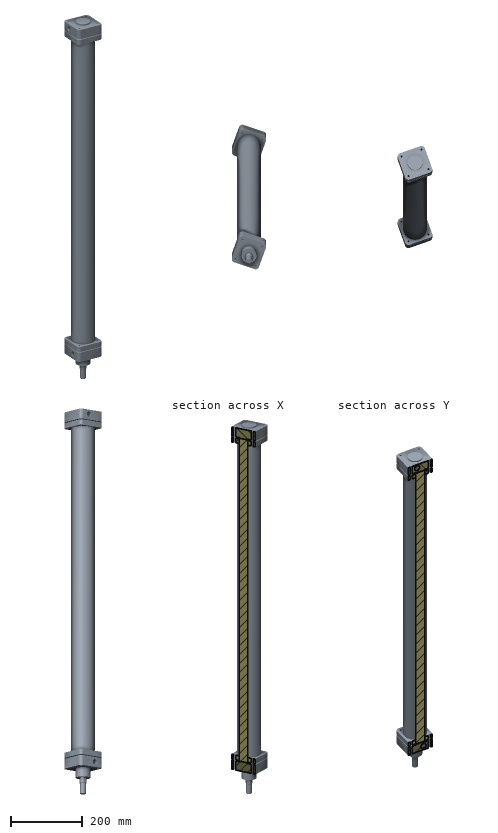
import cadquery as cq

total_length = 1091.0
boss_height = 4.0
rear_cap_top = total_length - boss_height
front_cap_bottom = 72.0
cap_height = 28.0
flange_height = 15.0
joint_gap = 2.0
nose_length = 26.0

head_width = 80.0
corner_radius = 10.0
bolt_spacing = 59.0
bolt_hole_diameter = 5.0

tube_diameter = 67.0
boss_diameter = 41.0

port_diameter = 15.0
port_depth = 13.0
port_offset = 10.4
rear_port_inset = 13.0
front_port_inset = 14.0

rod_diameter = 19.0
thread_diameter = 16.0
thread_length = 30.0
thread_chamfer = 1.0
flat_width = 16.0
flat_bottom = 33.0

front_cap_top = front_cap_bottom + cap_height
front_flange_bottom = front_cap_top + joint_gap
rear_cap_bottom = rear_cap_top - cap_height
rear_flange_top = rear_cap_bottom - joint_gap
rear_flange_bottom = rear_flange_top - flange_height
nose_bottom = front_cap_bottom - nose_length


def disc(diameter, bottom, top):
    """Cylinder on the Z axis between two heights."""
    return cq.Workplane("XY").workplane(offset=bottom).circle(diameter / 2).extrude(top - bottom)


def square_plate(bottom, top):
    """Rounded square plate with a bolt hole through each corner."""
    height = top - bottom
    plate = cq.Workplane("XY").workplane(offset=bottom).rect(head_width, head_width).extrude(height)
    plate = plate.edges("|Z").fillet(corner_radius)
    bolt_holes = (
        cq.Workplane("XY")
        .workplane(offset=bottom)
        .rect(bolt_spacing, bolt_spacing, forConstruction=True)
        .vertices()
        .circle(bolt_hole_diameter / 2)
        .extrude(height)
    )
    return plate.cut(bolt_holes)


def port(x, z):
    """Blind round port sunk into the -Y face of a cap."""
    face = cq.Workplane("XZ", origin=(x, -head_width / 2, z))
    return face.circle(port_diameter / 2).extrude(-port_depth)


def make_rear_cap():
    """Cap at the top end, with its low round boss and air port."""
    cap = square_plate(rear_cap_bottom, rear_cap_top)
    cap = cap.union(disc(boss_diameter, rear_cap_top, total_length))
    return cap.cut(port(-port_offset, rear_cap_top - rear_port_inset))


def make_front_cap():
    """Cap at the rod end, with its round nose and air port."""
    cap = square_plate(front_cap_bottom, front_cap_top)
    cap = cap.union(disc(boss_diameter, nose_bottom, front_cap_bottom))
    return cap.cut(port(port_offset, front_cap_bottom + front_port_inset))


def make_flange(bottom):
    """Square flange ring around the tube."""
    flange = square_plate(bottom, bottom + flange_height)
    return flange.cut(disc(tube_diameter, bottom, bottom + flange_height))


def wrench_flat_cut():
    """Material outside the two wrench flats, which face -Y and +Y."""
    height = nose_bottom - flat_bottom
    between_flats = (
        cq.Workplane("XY").workplane(offset=flat_bottom).rect(rod_diameter, flat_width).extrude(height)
    )
    return disc(rod_diameter, flat_bottom, nose_bottom).cut(between_flats)


def make_rod():
    """Rod with wrench flats, bevelled down to its threaded end."""
    shoulder_bevel = (rod_diameter - thread_diameter) / 2
    shank = disc(rod_diameter, thread_length, nose_bottom).faces("<Z").chamfer(shoulder_bevel)
    thread = disc(thread_diameter, 0, thread_length).faces("<Z").chamfer(thread_chamfer)
    return shank.union(thread).cut(wrench_flat_cut())


tube = disc(tube_diameter, front_cap_top, rear_cap_bottom)
rear_cap = make_rear_cap()
front_cap = make_front_cap()
flanges = [make_flange(bottom) for bottom in (front_flange_bottom, rear_flange_bottom)]
rod = make_rod()

result = cq.Compound.makeCompound(
    [tube.val(), rear_cap.val(), front_cap.val(), *[flange.val() for flange in flanges], rod.val()]
)